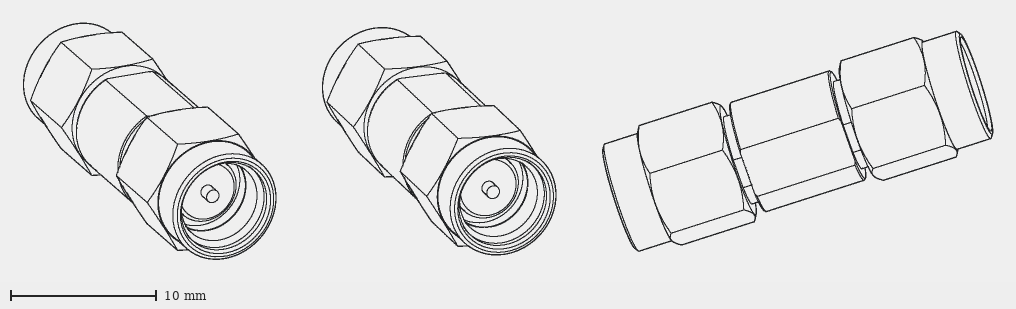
import cadquery as cq
import math

LENGTH = 25.8
HALF_LENGTH = LENGTH / 2

NUT_DEPTH = 8.6
HEX_START = 2.6
HEX_FLATS = 7.9
HEX_CORNERS = HEX_FLATS / math.cos(math.pi / 6)
HEX_CHAMFER_RADIUS = 3.92
HEX_CHAMFER_LENGTH = 0.35
COLLAR_RADIUS = 3.87
COLLAR_CHAMFER_LENGTH = 0.18
COLLAR_CHAMFER_WIDTH = 0.25

MOUTH_RADIUS = 3.38
MOUTH_CHAMFER_DEPTH = 0.25
COUNTERBORE_RADIUS = 3.2
COUNTERBORE_DEPTH = 0.7
THREAD_RADIUS = 2.85
THREAD_START = 1.08
THREAD_END = 3.07
RELIEF_RADIUS = 2.9
BORE_FLOOR = 4.13

BARREL_LENGTH = 7.28
BARREL_RADIUS = 3.95
BARREL_FLATS = 7.05
BARREL_CHAMFER = 0.1
NECK_RADIUS = 3.15
NECK_FLATS = 5.93
PLUG_RADIUS = 2.3
PLUG_FRONT = 3.15
PLUG_CHAMFER = 0.25
PIN_RADIUS = 0.46
PIN_TIP = 1.6
PIN_CONE_LENGTH = 0.57


def revolved(outline):
    """Turn a closed outline of (x, radius) points about the X axis."""
    return cq.Workplane("XY").polyline(outline).close().revolve(360, (0, 0, 0), (1, 0, 0))


def x_at(depth):
    """X of a depth below the open end of the nut on the -X side."""
    return depth - HALF_LENGTH


def hexagon():
    """Hexagon with flats at top and bottom, its corners turned down at both ends."""
    front = x_at(HEX_START)
    rear = x_at(NUT_DEPTH)
    prism = (
        cq.Workplane("YZ", origin=(front, 0, 0))
        .polygon(6, HEX_CORNERS)
        .extrude(rear - front)
    )
    corner_envelope = revolved([
        (front, 0),
        (front, HEX_CHAMFER_RADIUS),
        (front + HEX_CHAMFER_LENGTH, HEX_CORNERS / 2),
        (rear - HEX_CHAMFER_LENGTH, HEX_CORNERS / 2),
        (rear, HEX_CHAMFER_RADIUS),
        (rear, 0),
    ])
    return prism.intersect(corner_envelope)


def collar():
    """Round front part of the nut with a chamfered rim."""
    front = x_at(0)
    rear = x_at(NUT_DEPTH)
    return revolved([
        (front, 0),
        (front, COLLAR_RADIUS - COLLAR_CHAMFER_WIDTH),
        (front + COLLAR_CHAMFER_LENGTH, COLLAR_RADIUS),
        (rear, COLLAR_RADIUS),
        (rear, 0),
    ])


def nut_bore():
    """Chamfered mouth, counterbore, thread core, relief and the through hole for the plug."""
    return revolved([
        (x_at(0), 0),
        (x_at(0), MOUTH_RADIUS),
        (x_at(MOUTH_CHAMFER_DEPTH), COUNTERBORE_RADIUS),
        (x_at(COUNTERBORE_DEPTH), COUNTERBORE_RADIUS),
        (x_at(THREAD_START), THREAD_RADIUS),
        (x_at(THREAD_END), THREAD_RADIUS),
        (x_at(THREAD_END), RELIEF_RADIUS),
        (x_at(BORE_FLOOR), RELIEF_RADIUS),
        (x_at(BORE_FLOOR), PLUG_RADIUS),
        (x_at(NUT_DEPTH), PLUG_RADIUS),
        (x_at(NUT_DEPTH), 0),
    ])


def make_nut(turn):
    """Coupling nut, turned about Z to face its end of the part."""
    nut = hexagon().union(collar()).cut(nut_bore())
    return nut.rotate((0, 0, 0), (0, 0, 1), turn)


def flatted(round_bar, length, flats):
    """Cut a round bar centred on the origin down to flats at top and bottom."""
    return round_bar.intersect(cq.Workplane("XY").box(length, 2 * BARREL_RADIUS, flats))


def barrel():
    bar = cq.Workplane("YZ").circle(BARREL_RADIUS).extrude(BARREL_LENGTH / 2, both=True)
    return flatted(bar.edges().chamfer(BARREL_CHAMFER), BARREL_LENGTH, BARREL_FLATS)


def necks():
    """Flatted bar that shows on both sides of the barrel and ends at the nuts' rear faces."""
    half_length = -x_at(NUT_DEPTH)
    bar = cq.Workplane("YZ").circle(NECK_RADIUS).extrude(half_length, both=True)
    return flatted(bar, 2 * half_length, NECK_FLATS)


def plug_and_pin():
    """Plug that fills the nut's rear hole, with the pointed contact pin on its front."""
    front = x_at(PLUG_FRONT)
    tip = x_at(PIN_TIP)
    return revolved([
        (0, 0),
        (tip, 0),
        (tip + PIN_CONE_LENGTH, PIN_RADIUS),
        (front, PIN_RADIUS),
        (front, PLUG_RADIUS - PLUG_CHAMFER),
        (front + PLUG_CHAMFER, PLUG_RADIUS),
        (0, PLUG_RADIUS),
    ])


def make_adapter_body():
    plug = plug_and_pin()
    return barrel().union(necks()).union(plug).union(plug.mirror("YZ"))


adapter_body = make_adapter_body()
nuts = [make_nut(turn) for turn in (0, 180)]

result = cq.Compound.makeCompound([adapter_body.val(), *[nut.val() for nut in nuts]])